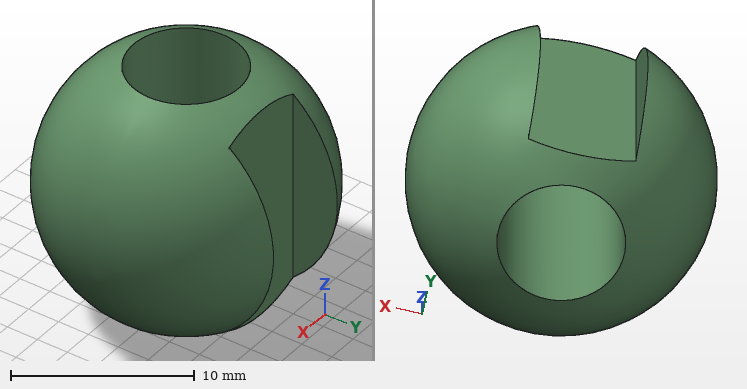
import cadquery as cq
import math

ball_diameter = 17.0
bore_diameter = 7.0
slot_width = 6.0
slot_floor_y = 5.0

ball_radius = ball_diameter / 2
bore_radius = bore_diameter / 2

rim_z = math.sqrt(ball_radius**2 - bore_radius**2)
mid_angle = math.atan2(rim_z, bore_radius) / 2
mid_x = ball_radius * math.cos(mid_angle)
mid_z = ball_radius * math.sin(mid_angle)


def make_bored_ball():
    """Ball with a through bore along Z, its two halves meeting at the equator."""
    return (
        cq.Workplane("XZ")
        .moveTo(bore_radius, -rim_z)
        .threePointArc((mid_x, -mid_z), (ball_radius, 0))
        .threePointArc((mid_x, mid_z), (bore_radius, rim_z))
        .close()
        .revolve(360, (0, 0, 0), (0, 1, 0))
    )


def make_slot_cutter():
    """Box for the keyway on the +Y side, running the full height of the ball."""
    return cq.Workplane("XY").box(
        slot_width, ball_radius, ball_diameter, centered=(True, False, True)
    ).translate((0, slot_floor_y, 0))


result = make_bored_ball().cut(make_slot_cutter())